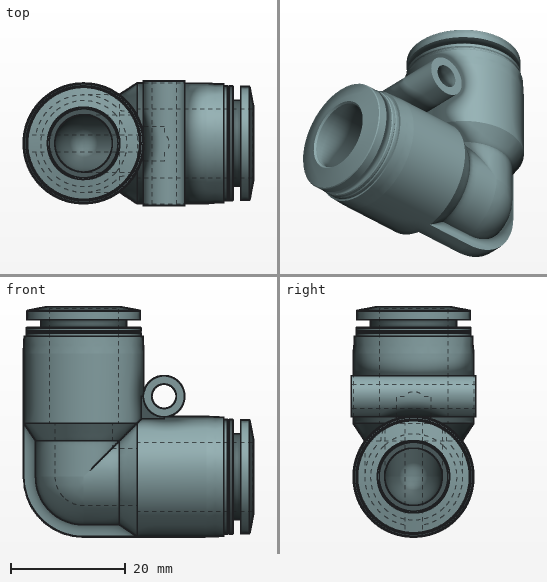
import cadquery as cq

body_radius = 10.5
bend_radius = 8.5
cone_start = 6.25
cone_end = 9.3
taper_start = 21.4
body_end = 24.4
body_end_radius = 10.35

cap_radius = 10.0
cap_end = 26.0
cap_step = 0.15
groove_start = 25.0
groove_end = 25.4

neck_radius = 7.5
button_radius = 9.9
button_start = 27.3
button_rim_end = 28.8
button_end = 29.6
button_rim_chamfer = 0.15

tube_bore_radius = 6.0
tube_stop = cone_end
bore_lead_in = 0.3
flow_radius = 5.0

rib_thickness = 3.0

eye_radius = 3.6
eye_hole_radius = 2.1
eye_length = 21.7
eye_centre = 14.0
web_thickness = 6.0


def revolve_about_z(points):
    """Solid of revolution from (radius, height) points about the Z axis."""
    return cq.Workplane("XZ").polyline(points).close().revolve(360, (0, 0), (0, 1))


def on_both_ports(shape):
    """Join a shape on the Z port with its copy turned half a turn about the line X = Z onto the X port."""
    x_port = shape.rotate((0, 0, 0), (1, 0, 1), 180)
    return shape.union(x_port)


def make_port():
    """Solid outside of the Z port, from the bend centre to the button face."""
    return revolve_about_z([
        (0, 0),
        (bend_radius, 0),
        (bend_radius, cone_start),
        (body_radius, cone_end),
        (body_radius, taper_start),
        (body_end_radius, body_end),
        (cap_radius, body_end),
        (cap_radius, groove_start),
        (cap_radius - cap_step, groove_start + cap_step),
        (cap_radius - cap_step, groove_end - cap_step),
        (cap_radius, groove_end),
        (cap_radius, cap_end - cap_step),
        (cap_radius - cap_step, cap_end),
        (neck_radius, cap_end),
        (neck_radius, button_start),
        (button_radius, button_start),
        (button_radius, button_rim_end),
        (button_radius - button_rim_chamfer, button_rim_end + button_rim_chamfer),
        (tube_bore_radius + bore_lead_in, button_end),
        (0, button_end),
    ])


def make_port_bore():
    """Flow passage and wider tube socket of the Z port."""
    return revolve_about_z([
        (0, 0),
        (flow_radius, 0),
        (flow_radius, tube_stop),
        (tube_bore_radius, tube_stop),
        (tube_bore_radius, button_end - bore_lead_in),
        (tube_bore_radius + bore_lead_in, button_end),
        (0, button_end),
    ])


def make_rib():
    """Flat-sided rib around the outside of the bend, its rim flush with the round body."""
    leg = cq.Workplane("XY").circle(body_radius).extrude(cone_end)
    rim = on_both_ports(leg).union(cq.Workplane("XY").sphere(body_radius))
    slab_length = body_radius + cone_end
    slab = (
        cq.Workplane("XY")
        .box(slab_length, rib_thickness, slab_length, centered=(False, True, False))
        .translate((-body_radius, 0, -body_radius))
    )
    return rim.intersect(slab)


def make_web():
    """Square web filling the corner between the two ports and the mounting eye."""
    web_side = eye_centre - bend_radius
    return (
        cq.Workplane("XY")
        .box(web_side, web_thickness, web_side, centered=(False, True, False))
        .translate((bend_radius, 0, bend_radius))
    )


def eye_cylinder(radius):
    """Cylinder along Y on the mounting eye axis."""
    return (
        cq.Workplane("XZ")
        .center(eye_centre, eye_centre)
        .circle(radius)
        .extrude(eye_length / 2, both=True)
    )


outside = (
    on_both_ports(make_port())
    .union(cq.Workplane("XY").sphere(bend_radius))
    .union(make_rib())
    .union(make_web())
    .union(eye_cylinder(eye_radius))
)
flow_path = on_both_ports(make_port_bore()).union(cq.Workplane("XY").sphere(flow_radius))

result = outside.cut(flow_path).cut(eye_cylinder(eye_hole_radius))